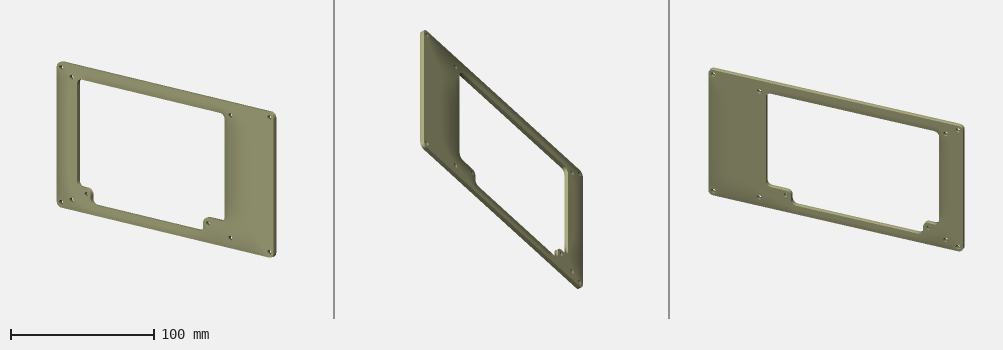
import cadquery as cq

plate_width = 191.5
plate_height = 106.5
plate_thickness = 3.0
plate_corner_radius = 3.8

corner_hole_diameter = 3.5
corner_hole_inset = 3.8

mount_hole_diameter = 3.5
mount_pitch_x = 140.2
mount_pitch_z = 90.0
mount_center_x = -12.6
mount_center_z = -1.0

window_left = -77.7
window_right = 52.5
window_top = 44.2
window_bottom = -46.0
window_corner_radius = 4.0

tab_top = -35.0
tab_left_edge = -65.7
tab_right_edge = 33.5
tab_hole_diameter = 3.0
tab_hole_inset = 4.0


def make_plate():
    """Rounded plate centred on the origin."""
    plate = cq.Workplane("XY").box(plate_width, plate_thickness, plate_height)
    return plate.edges("|Y").fillet(plate_corner_radius)


def make_window():
    """Cutter for the window, with every inside and outside corner rounded."""
    outline = [
        (window_left, window_top),
        (window_right, window_top),
        (window_right, tab_top),
        (tab_right_edge, tab_top),
        (tab_right_edge, window_bottom),
        (tab_left_edge, window_bottom),
        (tab_left_edge, tab_top),
        (window_left, tab_top),
    ]
    cutter = cq.Workplane("XZ").polyline(outline).close().extrude(plate_thickness, both=True)
    return cutter.edges("|Y").fillet(window_corner_radius)


def make_holes(centers, diameter):
    """Cutters for through holes at the given (x, z) centers."""
    holes = cq.Workplane("XZ").pushPoints(centers).circle(diameter / 2)
    return holes.extrude(plate_thickness, both=True)


def rectangle_corners(center_x, center_z, pitch_x, pitch_z):
    """Corner points of a rectangle given by its center and side lengths."""
    return [
        (center_x + side_x * pitch_x / 2, center_z + side_z * pitch_z / 2)
        for side_x in (-1, 1)
        for side_z in (-1, 1)
    ]


corner_hole_centers = rectangle_corners(
    0, 0, plate_width - 2 * corner_hole_inset, plate_height - 2 * corner_hole_inset
)
mount_hole_centers = rectangle_corners(mount_center_x, mount_center_z, mount_pitch_x, mount_pitch_z)
tab_hole_z = tab_top - tab_hole_inset
tab_hole_centers = [
    (tab_left_edge - tab_hole_inset, tab_hole_z),
    (tab_right_edge + tab_hole_inset, tab_hole_z),
]

result = (
    make_plate()
    .cut(make_window())
    .cut(make_holes(corner_hole_centers, corner_hole_diameter))
    .cut(make_holes(mount_hole_centers, mount_hole_diameter))
    .cut(make_holes(tab_hole_centers, tab_hole_diameter))
)